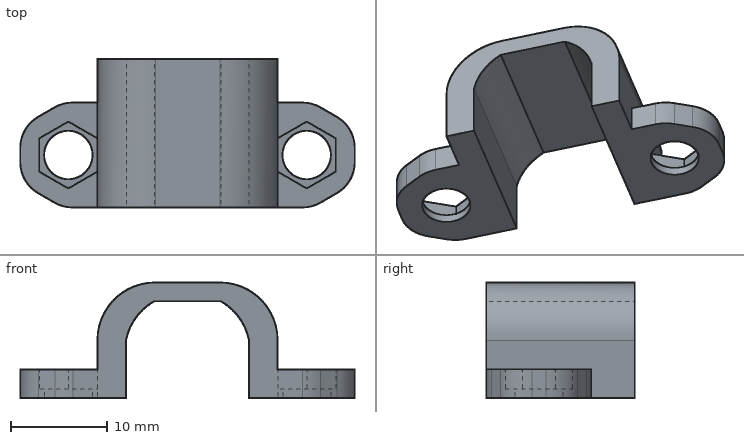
import cadquery as cq
import math

length = 34.7
depth = 15.4
height = 12.0
wall = 3.0
arch_radius = 6.0
bore_height = 10.03
ceiling_half_width = 3.47
bore_radius = 6.0

hole_diameter = 5.0
hole_to_end = 5.0
lug_width = 10.9
lug_corner_radius = 3.75
nut_across_flats = 6.0
nut_pocket_depth = 2.0

hole_x = length / 2 - hole_to_end
hole_y = lug_width / 2
arch_half_width = hole_x - nut_across_flats / 2
bore_half_width = arch_half_width - wall
spring_height = height - arch_radius


def arc_midpoint(start, end, radius):
    """Middle of the minor arc that bulges to the left of start -> end."""
    run = end[0] - start[0]
    rise = end[1] - start[1]
    chord = math.hypot(run, rise)
    bulge = radius - math.sqrt(radius**2 - (chord / 2) ** 2)
    return (
        (start[0] + end[0]) / 2 - rise / chord * bulge,
        (start[1] + end[1]) / 2 + run / chord * bulge,
    )


def make_arch():
    """Rounded block spanning the passage, running back from the front face at Y = 0."""
    block = cq.Workplane("XY").box(2 * arch_half_width, depth, height, centered=(True, False, False))
    return block.edges("|Y and >Z").fillet(arch_radius)


def make_passage():
    """Straight-sided passage whose curved corners meet a flat ceiling."""
    left_spring = (-bore_half_width, spring_height)
    left_ceiling = (-ceiling_half_width, bore_height)
    right_ceiling = (ceiling_half_width, bore_height)
    right_spring = (bore_half_width, spring_height)
    return (
        cq.Workplane("XZ")
        .moveTo(-bore_half_width, 0)
        .lineTo(*left_spring)
        .threePointArc(arc_midpoint(left_spring, left_ceiling, bore_radius), left_ceiling)
        .lineTo(*right_ceiling)
        .threePointArc(arc_midpoint(right_ceiling, right_spring, bore_radius), right_spring)
        .lineTo(bore_half_width, 0)
        .close()
        .extrude(-depth)
    )


def make_lug():
    """Right-hand lug: a rounded half hexagon around a hole with a nut pocket on top."""
    root_x = bore_half_width
    end_x = hole_x + hole_to_end
    end_half = hole_to_end * math.tan(math.radians(30))
    slope_start_x = hole_x + 2 * hole_to_end - math.sqrt(3) * lug_width / 2
    outline = [
        (root_x, 0),
        (slope_start_x, 0),
        (end_x, hole_y - end_half),
        (end_x, hole_y + end_half),
        (slope_start_x, lug_width),
        (root_x, lug_width),
    ]
    lug = cq.Workplane("XY").polyline(outline).close().extrude(wall)
    outer_region = cq.selectors.BoxSelector(
        (arch_half_width, -lug_width, -wall),
        (length, 2 * lug_width, 2 * wall),
    )
    lug = lug.edges("|Z").edges(outer_region).fillet(lug_corner_radius)

    nut_across_corners = nut_across_flats / math.cos(math.radians(30))
    nut_pocket = (
        cq.Workplane("XY")
        .polygon(6, nut_across_corners)
        .extrude(nut_pocket_depth)
        .rotate((0, 0, 0), (0, 0, 1), 30)
        .translate((hole_x, hole_y, wall - nut_pocket_depth))
    )
    hole = cq.Workplane("XY").center(hole_x, hole_y).circle(hole_diameter / 2).extrude(wall)
    return lug.cut(nut_pocket).cut(hole)


right_lug = make_lug()
left_lug = right_lug.mirror("YZ")
result = make_arch().cut(make_passage()).union(right_lug).union(left_lug)